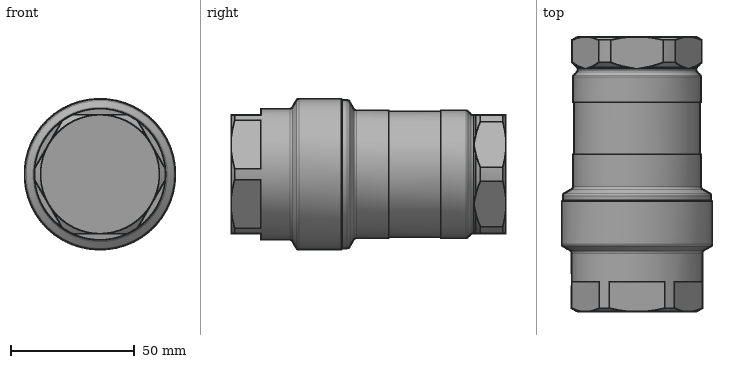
import cadquery as cq
import math

length = 111.0

flat_radius = 24.0
flat_count = 6
chamfer_angle = 30.0

front_radius = 26.5
front_flat_length = 12.0

collar_radius = 30.5
collar_start = 23.7
collar_end = 45.0
collar_bevel = 0.5
lip_radius = collar_radius - collar_bevel
lip_end = 46.8
collar_cone_angle = 60.0
collar_blend = 1.2

barrel_radius = 25.9
relief_radius = 25.5
relief_start = 63.6
relief_end = 84.6
barrel_end = 94.8

neck_radius = flat_radius
neck_cone_angle = 45.0
neck_blend = 1.0
rear_radius = 26.25
rear_hex_start = 100.7

neck_corner = rear_hex_start - (rear_radius - neck_radius) / math.tan(math.radians(neck_cone_angle))
neck_end = neck_corner - neck_blend * math.tan(math.radians(neck_cone_angle / 2))


def end_chamfer_length(radius):
    """Axial length of an end chamfer that meets the end face at the flats."""
    return (radius - flat_radius) * math.tan(math.radians(chamfer_angle))


def arc_offset(blend, angle):
    """Axial run and radial rise of a blend arc that leaves a cylinder and turns by the angle."""
    turn = math.radians(angle)
    return blend * math.sin(turn), blend * (1 - math.cos(turn))


def blended_cone(profile, start_y, start_radius, end_radius, angle, blend):
    """Add a cone between two cylinders, blended into each with an arc."""
    side = math.copysign(1, end_radius - start_radius)
    run, rise = arc_offset(blend, angle)
    mid_run, mid_rise = arc_offset(blend, angle / 2)
    cone_rise = abs(end_radius - start_radius) - 2 * rise
    end_y = start_y + 2 * run + cone_rise / math.tan(math.radians(angle))
    return (
        profile.lineTo(start_radius, start_y)
        .threePointArc(
            (start_radius + side * mid_rise, start_y + mid_run),
            (start_radius + side * rise, start_y + run),
        )
        .lineTo(end_radius - side * rise, end_y - run)
        .threePointArc((end_radius - side * mid_rise, end_y - mid_run), (end_radius, end_y))
    )


def hexagon_cone(profile):
    """Add the cone from the neck up to the rear hexagon, blended at the neck only."""
    run, rise = arc_offset(neck_blend, neck_cone_angle)
    mid_run, mid_rise = arc_offset(neck_blend, neck_cone_angle / 2)
    return (
        profile.lineTo(neck_radius, neck_end)
        .threePointArc(
            (neck_radius + mid_rise, neck_end + mid_run),
            (neck_radius + rise, neck_end + run),
        )
        .lineTo(rear_radius, rear_hex_start)
    )


def turned_body():
    """Revolve the half profile about the Y axis."""
    profile = cq.Workplane("XY").moveTo(0, 0).lineTo(flat_radius, 0)
    profile = profile.lineTo(front_radius, end_chamfer_length(front_radius))

    profile = blended_cone(
        profile, collar_start, front_radius, collar_radius, collar_cone_angle, collar_blend
    )
    profile = profile.lineTo(collar_radius, collar_end - collar_bevel)
    profile = profile.lineTo(lip_radius, collar_end)
    profile = blended_cone(
        profile, lip_end, lip_radius, barrel_radius, collar_cone_angle, collar_blend
    )

    profile = profile.lineTo(barrel_radius, relief_start).lineTo(relief_radius, relief_start)
    profile = profile.lineTo(relief_radius, relief_end).lineTo(barrel_radius, relief_end)

    profile = blended_cone(
        profile, barrel_end, barrel_radius, neck_radius, neck_cone_angle, neck_blend
    )
    profile = hexagon_cone(profile)
    profile = profile.lineTo(rear_radius, length - end_chamfer_length(rear_radius))
    profile = profile.lineTo(flat_radius, length).lineTo(0, length).close()
    return profile.revolve(360, (0, 0, 0), (0, 1, 0))


def cut_flats(body, start_y, end_y):
    """Cut the wrench flats between two stations; two of them face up and down."""
    cutter = (
        cq.Workplane("XY")
        .box(2 * collar_radius, end_y - start_y, collar_radius - flat_radius, centered=(True, False, False))
        .translate((0, start_y, flat_radius))
    )
    for index in range(flat_count):
        body = body.cut(cutter.rotate((0, 0, 0), (0, 1, 0), index * 360 / flat_count))
    return body


result = turned_body()
result = cut_flats(result, 0, front_flat_length)
result = cut_flats(result, neck_end, length)